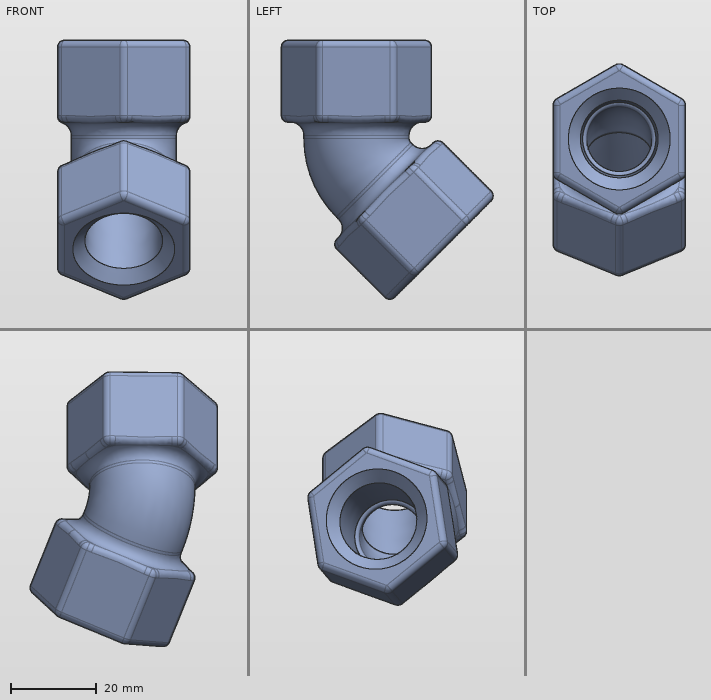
import cadquery as cq
import math

side_count = 6
across_flats = 30.95
head_length = 19.2
edge_radius = 1.65
corner_radius = 1.8

neck_diameter = 24.65
neck_fillet = 3.0
neck_length = 3.75
bend_radius = 13.65
bend_angle = 45

countersink_diameter = 23.8
countersink_depth = 2.7
socket_mouth_diameter = 18.2
bore_diameter = 15.15
shoulder_diameter = 17.15
shoulder_fillet = 0.9
shoulder_setback = 0.35

half_side_angle = 180 / side_count
across_corners = across_flats / math.cos(math.radians(half_side_angle))
end_length = head_length + neck_length
shoulder_depth = end_length - shoulder_setback


def fitting_end():
    """Solid hexagonal head with its mouth at Z = 0 and a flared neck below it."""
    head = (
        cq.Workplane("XY")
        .polygon(side_count, across_corners)
        .extrude(-head_length)
        .rotate((0, 0, 0), (0, 0, 1), half_side_angle)
        .edges("|Z")
        .fillet(corner_radius)
    )
    neck = (
        cq.Workplane("XY")
        .workplane(offset=-head_length)
        .circle(neck_diameter / 2)
        .extrude(-neck_length)
    )
    body = head.union(neck)
    neck_root = body.faces(">Z[-2]").edges("%CIRCLE").edges(cq.selectors.RadiusNthSelector(-1))
    flared = neck_root.fillet(neck_fillet)

    mouth_face = flared.faces(">Z").val()
    underside = flared.faces(">Z[-2]").val()
    rim_edges = mouth_face.outerWire().Edges() + underside.outerWire().Edges()
    return flared.newObject([flared.val().fillet(edge_radius, rim_edges)])


def socket():
    """Countersunk, slightly tapered socket with a short straight bore past its shoulder."""
    return (
        cq.Workplane("XZ")
        .lineTo(countersink_diameter / 2, 0)
        .lineTo(socket_mouth_diameter / 2, -countersink_depth)
        .lineTo(shoulder_diameter / 2, -shoulder_depth)
        .lineTo(bore_diameter / 2, -shoulder_depth)
        .lineTo(bore_diameter / 2, -end_length)
        .lineTo(0, -end_length)
        .close()
        .revolve(360, (0, 0, 0), (0, 1, 0))
    )


def bend(diameter):
    """Round bar swept along the elbow arc, from the upper neck to the lower neck."""
    return (
        cq.Workplane("XY")
        .workplane(offset=-end_length)
        .circle(diameter / 2)
        .revolve(bend_angle, (0, -bend_radius, 0), (-1, -bend_radius, 0))
    )


def at_both_ends(shape):
    """Return an upper-end shape and its matching copy at the lower end of the bend."""
    pivot = (0, -bend_radius, -end_length)
    flipped = shape.mirror("XY", (0, 0, -end_length))
    lower = flipped.rotate(pivot, (1, -bend_radius, -end_length), -bend_angle)
    return shape, lower


upper_end, lower_end = at_both_ends(fitting_end())
upper_socket, lower_socket = at_both_ends(socket())

outside = upper_end.union(bend(neck_diameter)).union(lower_end)
passage = bend(bore_diameter).union(upper_socket).union(lower_socket)

shoulder_lips = passage.faces("%PLANE").edges(cq.selectors.RadiusNthSelector(0))
result = outside.cut(shoulder_lips.fillet(shoulder_fillet))